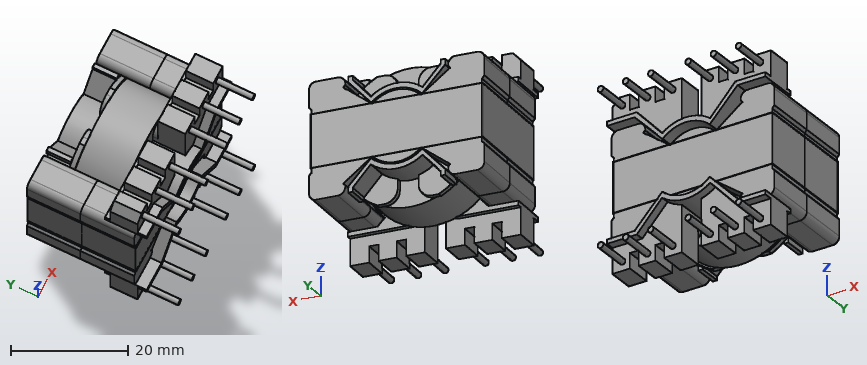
import cadquery as cq
import math


core_half_width = 33.0 / 2
core_half_height = 10.98
core_half_length = 10.27
waist_half_width = 16.05
tape_seat_half_height = 5.8
tape_seat_ramp = 0.55
leg_inner_x = 9.7
leg_corner_radius = 1.35
window_radius = 13.43
plate_thickness = 4.55
post_radius = 6.7
cheek_inner_x = 4.6
cheek_outer_x = 10.03

bore_radius = 7.0
tube_radius = 7.95
flange_radius = 13.25
flange_thickness = 1.0
front_flange_y = -5.45
rear_flange_y = 5.65
flange_half_height = 11.95
former_half_width = 32.13 / 2
slot_half_width = 1.97
slot_entry_radius = 2.45
collar_front_y = -12.4
collar_rear_y = core_half_length
collar_base_z = 11.1
collar_bottom_outer_x = 10.45
collar_bottom_inner_x = 4.8
collar_top_outer_x = 10.0
collar_top_inner_x = 4.85
rear_collar_half_width = 9.1
rear_rib_inner_x = 8.25
rear_rib_top_z = 10.78

block_front_y = -10.68
block_half_height = 17.0
notch_width = 1.77
notch_floor_z = 13.97
notch_positions = (6.43, 11.6)
key_chamfer = 1.53
pin_radius = 0.58
pin_tip_y = -17.65
pin_z = 15.23
first_pin_x = 7.58 / 2
pin_pitch = 5.1
pins_per_block = 3

winding_radius = 12.9
tape_half_height = 5.0
tape_thickness = 0.17


def height_on_circle(radius, x):
    return math.sqrt(radius**2 - x**2)


def section(y_end):
    """Workplane at y_end with local axes X and Z; a positive extrusion runs toward -Y."""
    return cq.Workplane("XZ", origin=(0, y_end, 0))


def prism(corners, y_start, y_end):
    """Closed polygon of (x, z) corners, extruded between y_start and y_end."""
    return section(y_end).polyline(corners).close().extrude(y_end - y_start)


def cylinder(radius, y_start, y_end):
    return section(y_end).circle(radius).extrude(y_end - y_start)


def block(x_start, x_end, y_start, y_end, z_start, z_end):
    size = (x_end - x_start, y_end - y_start, z_end - z_start)
    return cq.Workplane("XY").box(*size, centered=False).translate((x_start, y_start, z_start))


def with_mirror(body, plane):
    return body.union(body.mirror(plane))


def core_leg():
    """Rounded leg on the +X side, hollowed around the coil and recessed for the tape."""
    leg = block(leg_inner_x, core_half_width, 0, core_half_length, -core_half_height, core_half_height)
    leg = leg.edges("|Y").fillet(leg_corner_radius)
    ramp_end = tape_seat_half_height + tape_seat_ramp
    seat = prism(
        [
            (core_half_width, -ramp_end),
            (waist_half_width, -tape_seat_half_height),
            (waist_half_width, tape_seat_half_height),
            (core_half_width, ramp_end),
        ],
        0,
        core_half_length,
    )
    return leg.cut(seat).cut(cylinder(window_radius, 0, core_half_length))


def core_plate():
    """Waisted back plate whose cheeks slope from the centre post to the legs."""
    inner_z = height_on_circle(post_radius, cheek_inner_x)
    outer_z = height_on_circle(window_radius, cheek_outer_x)
    upper_half = [
        (-window_radius, outer_z),
        (-cheek_outer_x, outer_z),
        (-cheek_inner_x, inner_z),
        (cheek_inner_x, inner_z),
        (cheek_outer_x, outer_z),
        (window_radius, outer_z),
    ]
    lower_half = [(x, -z) for x, z in reversed(upper_half)]
    return prism(upper_half + lower_half, core_half_length - plate_thickness, core_half_length)


def core_half():
    legs = with_mirror(core_leg(), "YZ")
    post = cylinder(post_radius, 0, core_half_length)
    return legs.union(core_plate()).union(post)


def plate_opening(y_start, y_end):
    """Waisted space between the upper and lower collar, where a core plate lies."""
    inner_z = height_on_circle(bore_radius, collar_bottom_inner_x)
    right_side = [
        (0, 0),
        (collar_bottom_inner_x, inner_z),
        (collar_bottom_outer_x, collar_base_z),
        (core_half_width, collar_base_z),
        (core_half_width, -collar_base_z),
        (collar_bottom_outer_x, -collar_base_z),
        (collar_bottom_inner_x, -inner_z),
    ]
    return with_mirror(prism(right_side, y_start, y_end), "YZ")


def collar_wing(y_start, y_end):
    """Sloped part of a collar on the +X +Z side, filled down to the opening."""
    inner_z = height_on_circle(tube_radius, collar_top_inner_x)
    corners = [
        (0, 0),
        (collar_top_inner_x, inner_z),
        (collar_top_outer_x, flange_half_height),
        (former_half_width, flange_half_height),
        (former_half_width, 0),
    ]
    return prism(corners, y_start, y_end)


def rear_wing():
    """Wing behind the rear flange, cut short at its side and carrying an upright rib there."""
    y_range = (rear_flange_y, collar_rear_y)
    limits = block(0, rear_rib_inner_x, *y_range, 0, flange_half_height)
    rib = block(rear_rib_inner_x, rear_collar_half_width, *y_range, 0, rear_rib_top_z)
    return collar_wing(*y_range).intersect(limits).union(rib)


def flange_disc(y_start, y_end):
    limits = block(-flange_radius, flange_radius, y_start, y_end, -flange_half_height, flange_half_height)
    return cylinder(flange_radius, y_start, y_end).intersect(limits)


def wire_slot(y_start, y_end):
    """Slot in the top of a flange, with a rounded entry on both sides, down to the tube."""
    entry_half_width = slot_half_width + slot_entry_radius
    entry_z = flange_half_height - slot_entry_radius
    slot = (
        section(y_end)
        .moveTo(-slot_half_width, 0)
        .lineTo(-slot_half_width, entry_z)
        .radiusArc((-entry_half_width, flange_half_height), -slot_entry_radius)
        .lineTo(-entry_half_width, block_half_height)
        .lineTo(entry_half_width, block_half_height)
        .lineTo(entry_half_width, flange_half_height)
        .radiusArc((slot_half_width, entry_z), -slot_entry_radius)
        .lineTo(slot_half_width, 0)
        .close()
        .extrude(y_end - y_start)
    )
    return slot.cut(cylinder(tube_radius, y_start, y_end))


def pin_block():
    """Pin block on the +X +Z side, with wire notches in its top."""
    y_range = (block_front_y, front_flange_y)
    body = block(slot_half_width, former_half_width, *y_range, 0, block_half_height)
    for position in notch_positions:
        notch_start = position - notch_width / 2
        body = body.cut(
            block(notch_start, notch_start + notch_width, *y_range, notch_floor_z, block_half_height)
        )
    return body


def pin_row():
    """Pins of one block, on the +X +Z side."""
    places = [(first_pin_x + i * pin_pitch, pin_z) for i in range(pins_per_block)]
    return section(block_front_y).pushPoints(places).circle(pin_radius).extrude(block_front_y - pin_tip_y)


def in_four_quadrants(body):
    return with_mirror(with_mirror(body, "YZ"), "XY")


def coil_former():
    front_flange = (front_flange_y, front_flange_y + flange_thickness)
    rear_flange = (rear_flange_y - flange_thickness, rear_flange_y)
    former = cylinder(tube_radius, collar_front_y, collar_rear_y)

    quadrant = pin_block().union(collar_wing(collar_front_y, front_flange[1])).union(rear_wing())
    shoulder = block(slot_half_width, former_half_width, *front_flange, 0, flange_half_height)
    former = former.union(in_four_quadrants(quadrant.union(shoulder)))

    former = former.cut(plate_opening(collar_front_y, front_flange[1]))
    former = former.cut(plate_opening(rear_flange_y, collar_rear_y))

    for flange in (front_flange, rear_flange):
        slot = wire_slot(*flange)
        former = former.union(flange_disc(*flange)).cut(slot).cut(slot.mirror("XY"))

    former = former.union(in_four_quadrants(pin_row()))
    former = former.cut(cylinder(bore_radius, collar_front_y, collar_rear_y))

    key_corner = [
        (-former_half_width, block_half_height),
        (-former_half_width, block_half_height - key_chamfer),
        (-former_half_width + key_chamfer, block_half_height),
    ]
    return former.cut(prism(key_corner, block_front_y, front_flange_y))


def winding_coil():
    y_start = front_flange_y + flange_thickness
    y_end = rear_flange_y - flange_thickness
    return cylinder(winding_radius, y_start, y_end).cut(cylinder(tube_radius, y_start, y_end))


def tape_band():
    """Closed band whose outer corners are rounded about the corners of the core."""
    outer_x = waist_half_width + tape_thickness
    outer_y = core_half_length + tape_thickness
    z_range = (-tape_half_height, tape_half_height)
    outside = block(-outer_x, outer_x, -outer_y, outer_y, *z_range)
    outside = outside.edges("|Z").fillet(tape_thickness)
    inside = block(-waist_half_width, waist_half_width, -core_half_length, core_half_length, *z_range)
    return outside.cut(inside)


rear_core = core_half()
front_core = rear_core.mirror("XZ")
former = coil_former()
winding = winding_coil()
tape = tape_band()

result = cq.Compound.makeCompound(
    [body.solids().val() for body in (rear_core, front_core, former, winding, tape)]
)